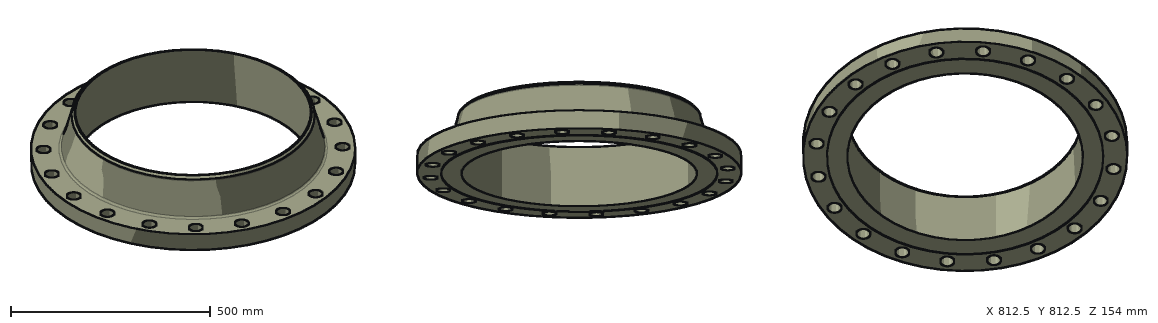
import cadquery as cq


flange_diameter = 812.5
total_height = 154.0
bore_diameter = 590.0

raised_face_diameter = 692.0
raised_face_height = 2.0

plate_thickness = 47.0

hub_base_diameter = 663.0
hub_top_diameter = 609.5
hub_fillet_radius = 6.5
land_height = 4.0
bevel_height = 7.0
root_face_width = 2.5

bolt_hole_count = 20
bolt_hole_diameter = 35.0
bolt_circle_diameter = 749.0

plate_top = raised_face_height + plate_thickness
bevel_start = total_height - bevel_height
taper_end = bevel_start - land_height


def make_plate():
    """Disc with the raised sealing face below it."""
    raised_face = cq.Workplane("XY").circle(raised_face_diameter / 2).extrude(raised_face_height)
    disc = (
        cq.Workplane("XY")
        .workplane(offset=raised_face_height)
        .circle(flange_diameter / 2)
        .extrude(plate_thickness)
    )
    return disc.union(raised_face)


def make_hub():
    """Solid tapered hub with a cylindrical land and a welding bevel."""
    hub_top_radius = hub_top_diameter / 2
    hub_profile = (
        cq.Workplane("XZ")
        .moveTo(0, plate_top)
        .lineTo(hub_base_diameter / 2, plate_top)
        .lineTo(hub_top_radius, taper_end)
        .lineTo(hub_top_radius, bevel_start)
        .lineTo(bore_diameter / 2 + root_face_width, total_height)
        .lineTo(0, total_height)
        .close()
    )
    return hub_profile.revolve(360, (0, 0), (0, 1))


def fillet_hub_base(body):
    """Round the inside corner where the hub meets the plate."""
    half_side = hub_base_diameter / 2 + hub_fillet_radius
    corner_box = cq.selectors.BoxSelector(
        (-half_side, -half_side, plate_top - hub_fillet_radius / 2),
        (half_side, half_side, plate_top + hub_fillet_radius / 2),
        boundingbox=True,
    )
    return body.edges("%CIRCLE").edges(corner_box).fillet(hub_fillet_radius)


def make_bore():
    """Through bore of the pipe."""
    return cq.Workplane("XY").circle(bore_diameter / 2).extrude(total_height)


def make_bolt_holes():
    """Ring of through holes, the first one on the +X axis."""
    return (
        cq.Workplane("XY")
        .polarArray(bolt_circle_diameter / 2, 0, 360, bolt_hole_count)
        .circle(bolt_hole_diameter / 2)
        .extrude(plate_top)
    )


body = fillet_hub_base(make_plate().union(make_hub()))
result = body.cut(make_bore()).cut(make_bolt_holes())